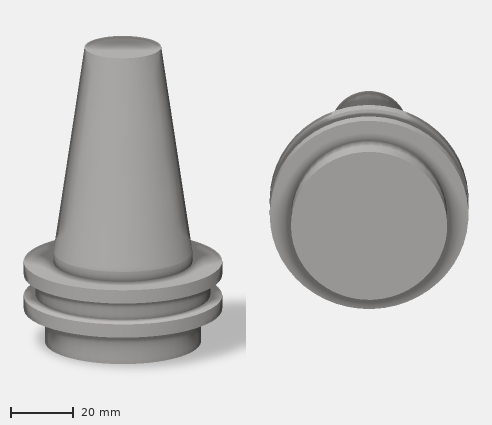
import cadquery as cq

total_length = 98.4
flange_diameter = 63.6
groove_diameter = 56.0
base_diameter = 50.0
neck_diameter = 44.5
taper_ratio = 7 / 24

base_length = 10.9
rim_thickness = 4.4
groove_mouth_width = 7.0
groove_wall_rise = 0.44
neck_length = 3.2

lower_rim_top = base_length + rim_thickness
upper_rim_bottom = lower_rim_top + groove_mouth_width
flange_top = upper_rim_bottom + rim_thickness
neck_top = flange_top + neck_length
tip_diameter = neck_diameter - taper_ratio * (total_length - neck_top)

base_radius = base_diameter / 2
flange_radius = flange_diameter / 2
groove_radius = groove_diameter / 2
neck_radius = neck_diameter / 2
tip_radius = tip_diameter / 2

profile = [
    (0, 0),
    (base_radius, 0),
    (base_radius, base_length),
    (flange_radius, base_length),
    (flange_radius, lower_rim_top),
    (groove_radius, lower_rim_top + groove_wall_rise),
    (groove_radius, upper_rim_bottom - groove_wall_rise),
    (flange_radius, upper_rim_bottom),
    (flange_radius, flange_top),
    (neck_radius, flange_top),
    (neck_radius, neck_top),
    (tip_radius, total_length),
    (0, total_length),
]

result = cq.Workplane("XZ").polyline(profile).close().revolve(360, (0, 0, 0), (0, 1, 0))